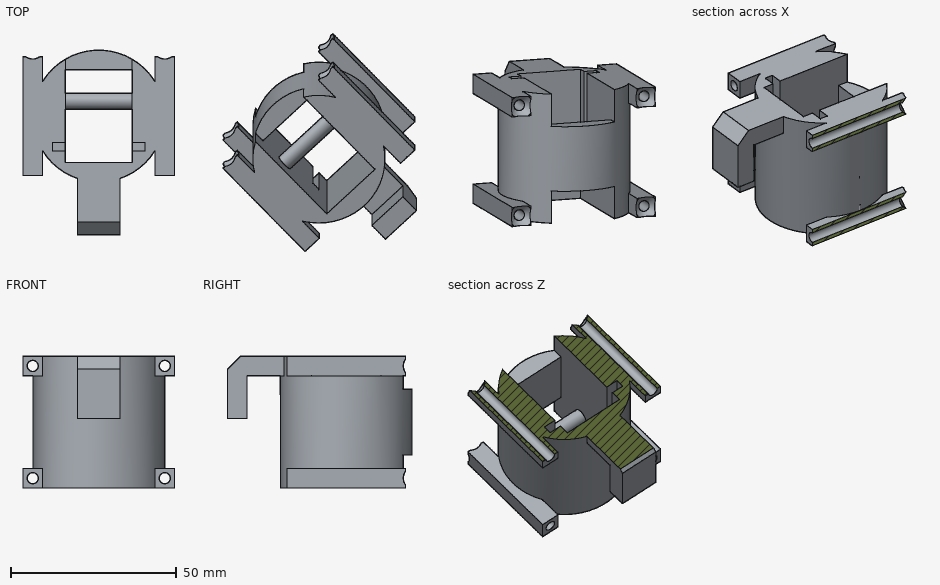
import cadquery as cq

drum_diameter = 40.0
drum_height = 40.0
drum_radius = drum_diameter / 2

window_width = 20.15
window_length = 28.0
back_wall_height = drum_height / 2

rail_size = 6.0
rail_length = 36.0
bolt_diameter = 3.3
countersink_diameter = 7.4

pin_diameter = 5.0
pin_y = 4.5
pin_z = 10.0

slot_span = 28.1
slot_width = 2.65
slot_back_y = -8.0
slot_depth = drum_height / 2

hook_width = 13.0
hook_thickness = 6.0
overall_length = 56.0
hook_tip_y = drum_radius - overall_length
hook_drop = 19.0
hook_chamfer = 4.0


def block(size_x, y_min, y_max, z_min, z_max):
    """Box centred on X and bounded by the given Y and Z limits."""
    return (
        cq.Workplane("XY", origin=(0, (y_min + y_max) / 2, z_min))
        .box(size_x, y_max - y_min, z_max - z_min, centered=(True, True, False))
    )


def make_drum():
    drum = cq.Workplane("XY").circle(drum_radius).extrude(drum_height)
    half_window = window_length / 2
    window = block(window_width, -half_window, half_window, 0, drum_height)
    notch_height = (drum_height - back_wall_height) / 2
    lower_notch = block(window_width, 0, drum_radius, 0, notch_height)
    upper_notch = block(window_width, 0, drum_radius, drum_height - notch_height, drum_height)
    slot = block(
        slot_span, slot_back_y - slot_width, slot_back_y, drum_height - slot_depth, drum_height
    )
    return drum.cut(window).cut(lower_notch).cut(upper_notch).cut(slot)


def make_pin():
    return (
        cq.Workplane("YZ", origin=(-window_width / 2, pin_y, pin_z))
        .circle(pin_diameter / 2)
        .extrude(window_width)
    )


def make_hook():
    arm_bottom = drum_height - hook_thickness
    root_y = -(window_length / 2)
    leg_inner_y = hook_tip_y + hook_thickness
    tip_z = drum_height - hook_drop
    return (
        cq.Workplane("YZ", origin=(-hook_width / 2, 0, 0))
        .moveTo(root_y, drum_height)
        .lineTo(hook_tip_y + hook_chamfer, drum_height)
        .lineTo(hook_tip_y, drum_height - hook_chamfer)
        .lineTo(hook_tip_y, tip_z)
        .lineTo(leg_inner_y, tip_z)
        .lineTo(leg_inner_y, arm_bottom)
        .lineTo(root_y, arm_bottom)
        .close()
        .extrude(hook_width)
    )


def make_bolt_cutter(x, z):
    """Through hole with a 45 degree countersink at the back end of a rail."""
    back_y = rail_length / 2
    sink_radius = countersink_diameter / 2
    bolt_radius = bolt_diameter / 2
    hole = cq.Solid.makeCylinder(
        bolt_radius, rail_length, cq.Vector(x, -back_y, z), cq.Vector(0, 1, 0)
    )
    sink = cq.Solid.makeCone(
        sink_radius, bolt_radius, sink_radius - bolt_radius,
        cq.Vector(x, back_y, z), cq.Vector(0, -1, 0),
    )
    return cq.Workplane(hole).union(cq.Workplane(sink))


rail_places = [
    (x, z)
    for x in (-drum_radius, drum_radius)
    for z in (rail_size / 2, drum_height - rail_size / 2)
]

result = make_drum().union(make_pin()).union(make_hook())
for x, z in rail_places:
    rail = cq.Workplane("XY", origin=(x, 0, z)).box(rail_size, rail_length, rail_size)
    result = result.union(rail)
for x, z in rail_places:
    result = result.cut(make_bolt_cutter(x, z))